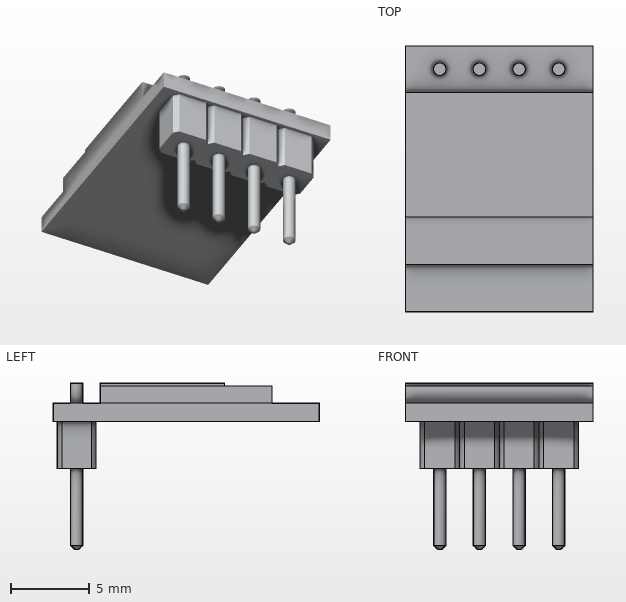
import cadquery as cq

BOARD_WIDTH = 12.0
BOARD_LENGTH = 17
BOARD_THICKNESS = 1.17

PANEL_BACK_MARGIN = 3.0
PANEL_FRONT_MARGIN = 3.01
PANEL_THICKNESS = 1.1
COVER_THICKNESS = 0.19
LEDGE_LENGTH = 3.05

PIN_COUNT = 4
PIN_PITCH = 2.53
PIN_DIAMETER = 0.8
PIN_LENGTH = 10.65
PIN_TIP_CHAMFER = 0.27
PIN_ROW_INSET = 1.5
CELL_DEPTH = 2.5
CELL_HEIGHT = 3.01
CELL_CHAMFER = 0.3

PANEL_BACK = BOARD_LENGTH / 2 - PANEL_BACK_MARGIN
PANEL_FRONT = -BOARD_LENGTH / 2 + PANEL_FRONT_MARGIN
PANEL_TOP = BOARD_THICKNESS + PANEL_THICKNESS
PIN_TOP = PANEL_TOP + COVER_THICKNESS
PIN_ROW_Y = BOARD_LENGTH / 2 - PIN_ROW_INSET


def make_plate(front, back, bottom, thickness):
    """Full-width rectangular plate between two Y positions."""
    return (
        cq.Workplane("XY", origin=(0, (front + back) / 2, bottom))
        .rect(BOARD_WIDTH, back - front)
        .extrude(thickness)
    )


def make_header_cell(x):
    """Block under the board with chamfered upright edges and a pin through it."""
    block = (
        cq.Workplane("XY", origin=(x, PIN_ROW_Y, 0))
        .rect(PIN_PITCH, CELL_DEPTH)
        .extrude(-CELL_HEIGHT)
        .edges("|Z")
        .chamfer(CELL_CHAMFER)
    )
    pin = (
        cq.Workplane("XY", origin=(x, PIN_ROW_Y, PIN_TOP))
        .circle(PIN_DIAMETER / 2)
        .extrude(-PIN_LENGTH)
        .faces("<Z")
        .chamfer(PIN_TIP_CHAMFER)
    )
    return block.union(pin)


def make_board():
    """Board in one piece with its row of header cells and pins."""
    body = make_plate(-BOARD_LENGTH / 2, BOARD_LENGTH / 2, 0, BOARD_THICKNESS)
    for i in range(PIN_COUNT):
        x = (i - (PIN_COUNT - 1) / 2) * PIN_PITCH
        body = body.union(make_header_cell(x))
    return body


def make_panel():
    """Display panel lying on the board."""
    return make_plate(PANEL_FRONT, PANEL_BACK, BOARD_THICKNESS, PANEL_THICKNESS)


def make_cover():
    """Thin cover on the panel, flush with its back edge."""
    return make_plate(PANEL_FRONT + LEDGE_LENGTH, PANEL_BACK, PANEL_TOP, COVER_THICKNESS)


board = make_board()
panel = make_panel()
cover = make_cover()

result = cq.Compound.makeCompound([*board.solids().vals(), panel.val(), cover.val()])